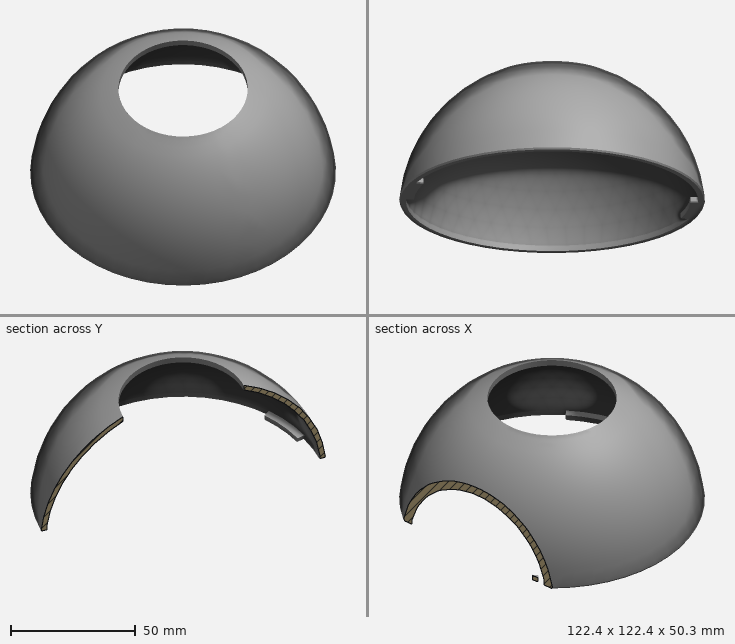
import cadquery as cq
import math

height = 50.3
rim_radius = 61.2
opening_radius = 51.8 / 2
wall = 2.5

chamfer_height = 0.7
chamfer_width = 0.4
ring_height = 2.3

tab_inner_radius = 55.3
tab_start_angle = 12.7
tab_sweep = 20.0
tab_count = 2
tab_end_chamfer = 0.5

sphere_center_z = (
    (height**2 + opening_radius**2 - chamfer_height**2 - rim_radius**2)
    / (2 * (height - chamfer_height))
)
outer_radius = math.hypot(rim_radius, chamfer_height - sphere_center_z)
inner_radius = outer_radius - wall


def sphere_z(sphere_radius, radius):
    """Height of a sphere's surface at a distance from the axis."""
    return sphere_center_z + math.sqrt(sphere_radius**2 - radius**2)


def sphere_distance(sphere_radius, z):
    """Distance of a sphere's surface from the axis at a height."""
    return math.sqrt(sphere_radius**2 - (z - sphere_center_z) ** 2)


ring_inner_radius = sphere_distance(inner_radius, ring_height)


def make_shell():
    """Revolve the dome wall together with its bottom ring."""
    outer_middle_z = (height + chamfer_height) / 2
    inner_top_z = sphere_z(inner_radius, opening_radius)
    inner_middle_z = (inner_top_z + ring_height) / 2
    profile = (
        cq.Workplane("XZ")
        .moveTo(ring_inner_radius, 0)
        .lineTo(rim_radius - chamfer_width, 0)
        .lineTo(rim_radius, chamfer_height)
        .threePointArc(
            (sphere_distance(outer_radius, outer_middle_z), outer_middle_z),
            (opening_radius, height),
        )
        .lineTo(opening_radius, inner_top_z)
        .threePointArc(
            (sphere_distance(inner_radius, inner_middle_z), inner_middle_z),
            (ring_inner_radius, ring_height),
        )
        .close()
    )
    return profile.revolve(360, (0, 0, 0), (0, 1, 0))


def make_tab(start_angle):
    """Sweep one tab around the axis, reaching into the ring to join it."""
    tab_outer_radius = (ring_inner_radius + rim_radius - chamfer_width) / 2
    tab = (
        cq.Workplane("XZ")
        .moveTo(tab_inner_radius, 0)
        .lineTo(tab_outer_radius, 0)
        .lineTo(tab_outer_radius, ring_height)
        .lineTo(tab_inner_radius, ring_height)
        .close()
        .revolve(tab_sweep, (0, 0, 0), (0, 1, 0))
    )
    tab = tab.faces("<Z").edges("%LINE").chamfer(tab_end_chamfer)
    return tab.rotate((0, 0, 0), (0, 0, 1), start_angle)


result = make_shell()
for index in range(tab_count):
    result = result.union(make_tab(tab_start_angle + index * 360 / tab_count))